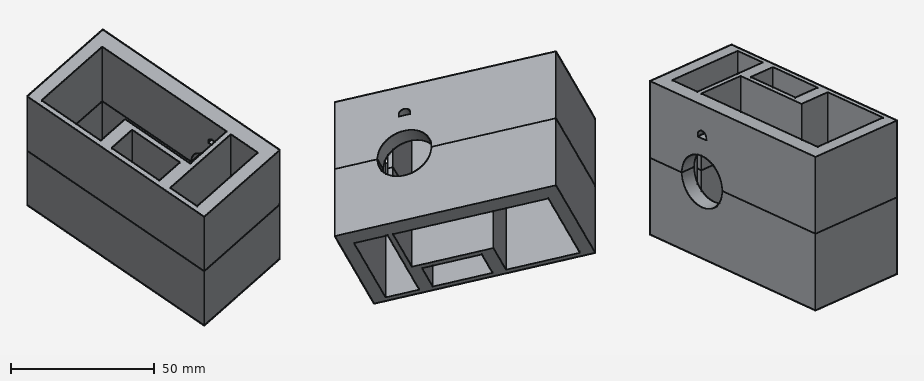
import cadquery as cq

LENGTH = 82.1
DEPTH = 40.0
HEIGHT = 60.0
HALF_HEIGHT = HEIGHT / 2

SIDE_WALL = 5.0
FRONT_WALL = 2.0
BACK_WALL = 6.0
THIN_PARTITION = 2.0
THICK_PARTITION = 5.0

RIGHT_POCKET_LENGTH = 12.5
SMALL_POCKET_LENGTH = 22.2
SMALL_POCKET_DEPTH = 10.8

OPENING_X = 15.2
LARGE_OPENING_RADIUS = 10.0
SMALL_OPENING_RADIUS = 2.1
SMALL_OPENING_SILL = 16.9
SMALL_OPENING_SIDE = 0.7

inner_left = -LENGTH / 2 + SIDE_WALL
inner_right = LENGTH / 2 - SIDE_WALL
inner_front = -DEPTH / 2 + FRONT_WALL
inner_back = DEPTH / 2 - BACK_WALL
right_pocket_left = inner_right - RIGHT_POCKET_LENGTH
main_right = right_pocket_left - THIN_PARTITION
small_pocket_right = right_pocket_left - THICK_PARTITION
small_pocket_left = small_pocket_right - SMALL_POCKET_LENGTH
small_pocket_back = inner_front + SMALL_POCKET_DEPTH
step_left = small_pocket_left - THICK_PARTITION
step_back = small_pocket_back + THIN_PARTITION


def rectangular_cutter(left, right, front, back, bottom):
    """Box that clears one half's full height between four wall faces."""
    box = cq.Workplane("XY").box(right - left, back - front, HALF_HEIGHT, centered=False)
    return box.translate((left, front, bottom))


def main_pocket_cutter(bottom):
    """L-shaped compartment that wraps around the small pocket."""
    return (
        cq.Workplane("XY", origin=(0, 0, bottom))
        .moveTo(inner_left, inner_front)
        .lineTo(step_left, inner_front)
        .lineTo(step_left, step_back)
        .lineTo(main_right, step_back)
        .lineTo(main_right, inner_back)
        .lineTo(inner_left, inner_back)
        .close()
        .extrude(HALF_HEIGHT)
    )


def back_wall_plane():
    """Sketch plane on the inner back wall, centred on the openings."""
    return cq.Workplane("XZ", origin=(OPENING_X, inner_back, 0))


def large_opening_cutter():
    """Round opening shared equally by both halves."""
    return back_wall_plane().circle(LARGE_OPENING_RADIUS).extrude(-BACK_WALL)


def small_opening_cutter():
    """Arched opening with a flat sill."""
    spring_line = SMALL_OPENING_SILL + SMALL_OPENING_SIDE
    return (
        back_wall_plane()
        .moveTo(-SMALL_OPENING_RADIUS, SMALL_OPENING_SILL)
        .lineTo(SMALL_OPENING_RADIUS, SMALL_OPENING_SILL)
        .lineTo(SMALL_OPENING_RADIUS, spring_line)
        .threePointArc((0, spring_line + SMALL_OPENING_RADIUS), (-SMALL_OPENING_RADIUS, spring_line))
        .close()
        .extrude(-BACK_WALL)
    )


def half_frame(bottom):
    """One half of the block with its three compartments and half the round opening."""
    block = cq.Workplane("XY", origin=(0, 0, bottom)).box(
        LENGTH, DEPTH, HALF_HEIGHT, centered=(True, True, False)
    )
    return (
        block.cut(main_pocket_cutter(bottom))
        .cut(rectangular_cutter(right_pocket_left, inner_right, inner_front, inner_back, bottom))
        .cut(
            rectangular_cutter(
                small_pocket_left, small_pocket_right, inner_front, small_pocket_back, bottom
            )
        )
        .cut(large_opening_cutter())
    )


lower_frame = half_frame(-HALF_HEIGHT)
upper_frame = half_frame(0).cut(small_opening_cutter())

result = cq.Compound.makeCompound([lower_frame.val(), upper_frame.val()])